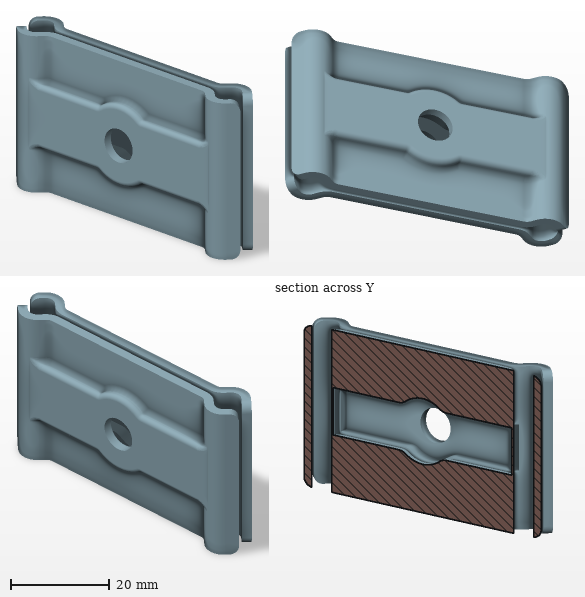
import cadquery as cq
import math

length = 59.85
height = 35.0
half_depth = 5.15
half_gap = 0.5
sheet = 2.0
press_depth = 2.5

bend_inner_radius = 2.0
bend_outer_radius = bend_inner_radius + sheet
flat_half_length = 20.0
corner_radius = 2.0

emboss_half_width = 8.0
emboss_half_length = 23.9
boss_radius = 10.0
emboss_fillet = 1.0
hole_diameter = 7.5

diagonal = math.sqrt(0.5)
foot_bend = (flat_half_length, half_gap + bend_outer_radius)
crest_y = half_depth - bend_outer_radius
crest_x = (foot_bend[0] + (bend_inner_radius + bend_outer_radius) / diagonal
           - (foot_bend[1] - crest_y))
crest_bend = (crest_x, crest_y)
lip_tip_x = length / 2

sheet_face = half_gap + sheet
emboss_face = sheet_face + press_depth
recess_floor = emboss_face - sheet
tolerance = 0.005


def on_circle(centre, radius, degrees):
    """Point on a circle around centre at the given angle."""
    angle = math.radians(degrees)
    return (centre[0] + radius * math.cos(angle), centre[1] + radius * math.sin(angle))


def bent_sheet():
    """Flat sheet with an outward clamp bend and a flared lip at each end."""
    outer_lip_start = on_circle(crest_bend, bend_outer_radius, 45)
    flare = lip_tip_x - outer_lip_start[0]
    outer_tip = (lip_tip_x, outer_lip_start[1] - flare)
    inner_tip = (outer_tip[0] - sheet * diagonal, outer_tip[1] - sheet * diagonal)

    half = (
        cq.Workplane("XY")
        .moveTo(0, half_gap)
        .lineTo(flat_half_length, half_gap)
        .threePointArc(
            on_circle(foot_bend, bend_outer_radius, -67.5),
            on_circle(foot_bend, bend_outer_radius, -45),
        )
        .lineTo(*on_circle(crest_bend, bend_inner_radius, 135))
        .threePointArc(
            on_circle(crest_bend, bend_inner_radius, 90),
            on_circle(crest_bend, bend_inner_radius, 45),
        )
        .lineTo(*inner_tip)
        .lineTo(*outer_tip)
        .lineTo(*outer_lip_start)
        .threePointArc(
            on_circle(crest_bend, bend_outer_radius, 90),
            on_circle(crest_bend, bend_outer_radius, 135),
        )
        .lineTo(*on_circle(foot_bend, bend_inner_radius, -45))
        .threePointArc(
            on_circle(foot_bend, bend_inner_radius, -67.5),
            (flat_half_length, sheet_face),
        )
        .lineTo(0, sheet_face)
        .close()
        .extrude(height / 2, both=True)
    )
    lip_end = half.faces(cq.selectors.DirectionMinMaxSelector(cq.Vector(1, -1, 0)))
    half = lip_end.edges("not |Z").fillet(corner_radius)
    return half.union(half.mirror("YZ")).clean()


def emboss_block(inset, y_start, y_end):
    """Block with the emboss outline, drawn in from the fillet toe by inset, between two Y levels."""
    width = emboss_half_width
    boss_x = math.sqrt(boss_radius**2 - width**2)
    return (
        cq.Workplane("XZ", origin=(0, y_start, 0))
        .moveTo(-crest_x, -width)
        .lineTo(-boss_x, -width)
        .threePointArc((0, -boss_radius), (boss_x, -width))
        .lineTo(crest_x, -width)
        .lineTo(crest_x, width)
        .lineTo(boss_x, width)
        .threePointArc((0, boss_radius), (-boss_x, width))
        .lineTo(-crest_x, width)
        .close()
        .offset2D(-inset)
        .extrude(y_start - y_end)
    )


def is_foot_edge(edge):
    """True where the emboss side wall meets the outer face of the sheet."""
    middle = edge.positionAt(0.5)
    box = edge.BoundingBox()
    wall = emboss_half_width - emboss_fillet
    on_wall = wall - tolerance < abs(middle.z) < boss_radius
    above_flat = box.ymin > sheet_face - tolerance
    below_crest = box.ymax < half_depth
    from_crest_bend = math.hypot(abs(middle.x) - crest_x, middle.y - crest_y)
    outside_channel = from_crest_bend > bend_inner_radius + sheet / 2
    return on_wall and above_flat and below_crest and outside_channel


def is_rim_edge(edge):
    """True where the emboss side wall meets its flat outer face."""
    box = edge.BoundingBox()
    on_face = box.ymin > emboss_face - tolerance and box.ymax < emboss_face + tolerance
    along_side = abs(edge.positionAt(0.5).z) > emboss_half_width - 2 * emboss_fillet
    return on_face and along_side


def emboss_envelope():
    """Space the emboss may fill: from the middle of the sheet out to the flat outer face."""
    flat_middle = half_gap + sheet / 2
    bend_middle = crest_y + bend_inner_radius + sheet / 2
    return (
        cq.Workplane("XY")
        .moveTo(-flat_half_length, flat_middle)
        .lineTo(flat_half_length, flat_middle)
        .lineTo(emboss_half_length, bend_middle)
        .lineTo(emboss_half_length, emboss_face)
        .lineTo(-emboss_half_length, emboss_face)
        .lineTo(-emboss_half_length, bend_middle)
        .close()
        .extrude(height / 2, both=True)
    )


def add_emboss(body):
    """Raise the emboss with a foot fillet that follows the sheet, then round its rim."""
    tall = body.union(emboss_block(emboss_fillet, half_gap + sheet / 2, 2 * half_depth))
    foot_edges = [edge for edge in tall.edges().vals() if is_foot_edge(edge)]
    tall = tall.newObject(foot_edges).fillet(emboss_fillet)

    raised = body.union(tall.intersect(emboss_envelope())).clean()
    rim_edges = [edge for edge in raised.edges().vals() if is_rim_edge(edge)]
    return raised.newObject(rim_edges).fillet(emboss_fillet)


def plate():
    """Pressed clamp plate on the +Y side of the mid-plane."""
    body = add_emboss(bent_sheet())
    body = body.cut(emboss_block(emboss_fillet + sheet, 0, recess_floor))
    hole = cq.Workplane("XZ").circle(hole_diameter / 2).extrude(-2 * half_depth)
    return body.cut(hole)


back_plate = plate()
front_plate = back_plate.mirror("XZ")

result = cq.Compound.makeCompound([back_plate.val(), front_plate.val()])